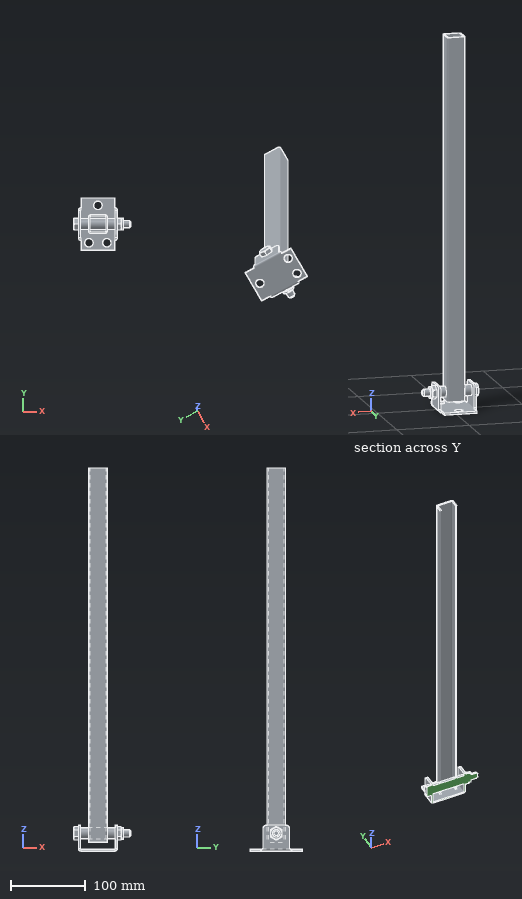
import cadquery as cq
import math

tube_side = 25.0
tube_wall = 2.0
tube_corner_radius = 3.0
tube_length = 500.0
tube_bottom_z = 12.0

sheet = 3.0
bend_inner_radius = 0.5
bend_outer_radius = bend_inner_radius + sheet
bracket_width = 52.0
bracket_height = 35.0
flange_depth = 36.0
flange_corner_radius = 5.0
bend_flare = 4.0
flare_height = 4.0
base_depth = 70.0
base_width = bracket_width - 2 * bend_outer_radius
mount_hole_diameter = 11.0
mount_hole_y = 25.0
mount_hole_x = 12.0
flange_outer_x = bracket_width / 2
flange_inner_x = flange_outer_x - sheet

pivot_z = 24.0
sleeve_diameter = 15.0
bolt_diameter = 10.0
bolt_length = 70.0
bolt_tip_chamfer = 2.0
hex_across_flats = 16.0
hex_face_diameter = 15.0
hex_chamfer_angle = math.radians(30)
head_height = 6.4
nut_hex_height = 5.5
nut_collar_height = 2.5
nut_collar_diameter = 16.0


def rod_along_x(diameter, start_x, length):
    """Round bar on the pivot axis, starting at start_x."""
    return (
        cq.Workplane("YZ", origin=(start_x, 0, pivot_z))
        .circle(diameter / 2)
        .extrude(length)
    )


def hexagon_along_x(seat_x, height, direction):
    """Hexagon on the pivot axis with corners up and down, chamfered on the face away from its seat."""
    corner_radius = hex_across_flats / math.sqrt(3)
    face_radius = hex_face_diameter / 2
    chamfer_depth = (corner_radius - face_radius) * math.tan(hex_chamfer_angle)
    face_x = seat_x + direction * height
    hexagon = (
        cq.Workplane("YZ", origin=(seat_x, 0, pivot_z))
        .polygon(6, 2 * corner_radius)
        .extrude(direction * height)
        .rotate((0, 0, pivot_z), (1, 0, pivot_z), 90)
    )
    envelope = (
        cq.Workplane("XZ")
        .moveTo(seat_x, pivot_z)
        .lineTo(seat_x, pivot_z + corner_radius)
        .lineTo(face_x - direction * chamfer_depth, pivot_z + corner_radius)
        .lineTo(face_x, pivot_z + face_radius)
        .lineTo(face_x, pivot_z)
        .close()
        .revolve(360, (seat_x, pivot_z, 0), (face_x, pivot_z, 0))
    )
    return hexagon.intersect(envelope)


def make_tube():
    """Hollow square tube with rounded corners, open at both ends."""
    bore_side = tube_side - 2 * tube_wall
    outside = (
        cq.Workplane("XY", origin=(0, 0, tube_bottom_z))
        .rect(tube_side, tube_side)
        .extrude(tube_length)
        .edges("|Z")
        .fillet(tube_corner_radius)
    )
    bore = (
        cq.Workplane("XY", origin=(0, 0, tube_bottom_z))
        .rect(bore_side, bore_side)
        .extrude(tube_length)
        .edges("|Z")
        .fillet(tube_corner_radius - tube_wall)
    )
    return outside.cut(bore)


def make_channel():
    """U-shaped sheet profile, trimmed to the flange outline that flares out at the bends."""
    bend_depth = flange_depth + 2 * bend_flare
    outside = (
        cq.Workplane("XY")
        .box(bracket_width, bend_depth, bracket_height, centered=(True, True, False))
        .edges("|Y and <Z")
        .fillet(bend_outer_radius)
    )
    inside = (
        cq.Workplane("XY", origin=(0, 0, sheet))
        .box(2 * flange_inner_x, bend_depth, bracket_height, centered=(True, True, False))
        .edges("|Y and <Z")
        .fillet(bend_inner_radius)
    )
    half_depth = flange_depth / 2
    outline = (
        cq.Workplane("YZ", origin=(-flange_outer_x, 0, 0))
        .moveTo(-half_depth - bend_flare, 0)
        .lineTo(half_depth + bend_flare, 0)
        .lineTo(half_depth, flare_height)
        .lineTo(half_depth, bracket_height)
        .lineTo(-half_depth, bracket_height)
        .lineTo(-half_depth, flare_height)
        .close()
        .extrude(bracket_width)
        .edges("|X and >Z")
        .fillet(flange_corner_radius)
    )
    return outside.cut(inside).intersect(outline)


def make_bracket():
    """Base plate with three mounting holes and two upright flanges."""
    base = cq.Workplane("XY").box(base_width, base_depth, sheet, centered=(True, True, False))
    mount_holes = (
        cq.Workplane("XY")
        .pushPoints([(0, mount_hole_y), (-mount_hole_x, -mount_hole_y), (mount_hole_x, -mount_hole_y)])
        .circle(mount_hole_diameter / 2)
        .extrude(sheet)
    )
    return base.union(make_channel()).cut(mount_holes)


def make_pivot():
    """Spacer sleeve between the flanges, with the bolt and its collared nut."""
    sleeve = rod_along_x(sleeve_diameter, -flange_inner_x, 2 * flange_inner_x)
    shank = rod_along_x(bolt_diameter, -flange_outer_x, bolt_length).faces(">X").chamfer(bolt_tip_chamfer)
    head = hexagon_along_x(-flange_outer_x, head_height, -1)
    nut = hexagon_along_x(flange_outer_x, nut_hex_height, 1)
    collar = rod_along_x(nut_collar_diameter, flange_outer_x + nut_hex_height, nut_collar_height)
    return sleeve.union(shank).union(head).union(nut).union(collar)


result = make_bracket().union(make_tube()).union(make_pivot())